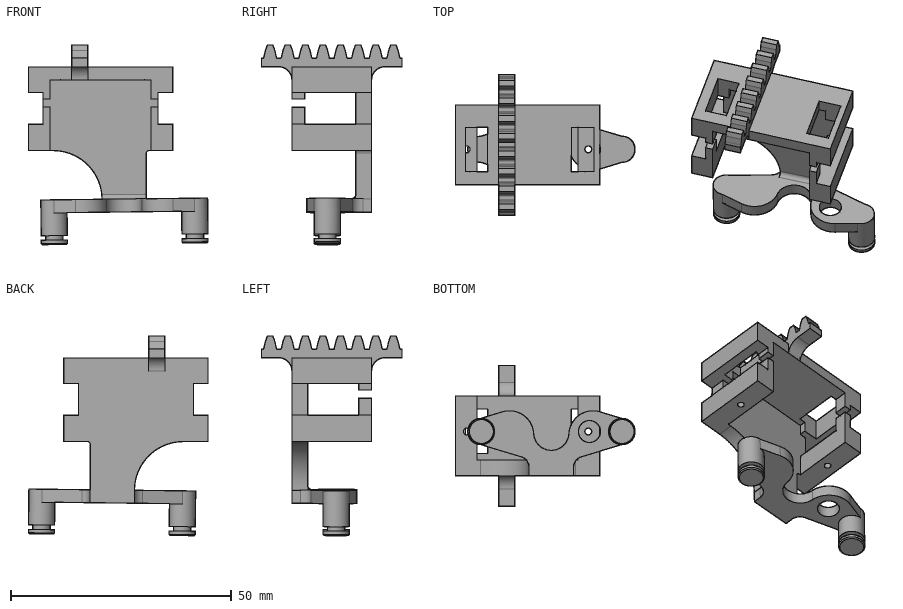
import cadquery as cq
import math

BODY_LENGTH = 32.8
BODY_DEPTH = 18.15
BODY_HEIGHT = 19.05
TOP_THICKNESS = 3.0
WALL_THICKNESS = 3.65
LIP_THICKNESS = 3.0
OPENING_LENGTH = 22.88
NOTCH_DEPTH = 3.3
LOWER_BLOCK_HEIGHT = 6.05
UPPER_BLOCK_HEIGHT = 5.85
LIP_SLOT_BOTTOM = 9.9
LIP_SLOT_HEIGHT = 1.8
POCKET_DEPTH = 10.08
LEFT_POCKET_X = (-14.03, -9.05)
RIGHT_POCKET_X = (9.95, 15.05)
SMALL_HOLE_DIAMETER = 1.5
SMALL_HOLE_X = 13.8

front_y = -BODY_DEPTH / 2
back_y = BODY_DEPTH / 2
wall_front_y = back_y - WALL_THICKNESS
lip_back_y = front_y + LIP_THICKNESS
half_length = BODY_LENGTH / 2
half_opening = OPENING_LENGTH / 2
upper_block_bottom = BODY_HEIGHT - UPPER_BLOCK_HEIGHT

RACK_LEFT_X = -6.55
RACK_WIDTH = 3.68
RACK_BASE_HEIGHT = 1.95
RACK_HEIGHT = 4.95
RACK_LENGTH = 32.0
TOOTH_COUNT = 8
TOOTH_PITCH = RACK_LENGTH / TOOTH_COUNT
TIP_HALF_WIDTH = 0.65
FLANK_HALF_WIDTH = 1.1
FLANK_DROP = 1.23
ROOT_HALF_WIDTH = 1.5
ROOT_FILLET_RADIUS = 0.2

WEB_LEFT_X = 0.3
WEB_RIGHT_X = 10.45
WEB_SWEEP_RADIUS = 11.0
WEB_CORNER_RADIUS = 0.5
WEB_OVERLAP = 0.1

FOOT_CENTRE_X = (WEB_LEFT_X + WEB_RIGHT_X) / 2
FOOT_TOP_Z = -10.95
FOOT_THICKNESS = 3.0
FOOT_TILT = 0.67
PIN_HALF_SPACING = 15.98
FEATURE_Y = -1.0
EDGE_SLOPE = 0.3
WEB_BLEND_RADIUS = 2.5
WEB_FILLET_RADIUS = 1.0
LOBE_RADIUS = 5.5
LOBE_OFFSET_X = 9.5
LOBE_Y = -0.23
NOTCH_CENTRE_Y = -0.73
FOOT_HOLE_DIAMETER = 5.0
FOOT_HOLE_OFFSET_X = 8.65

PIN_DIAMETER = 6.0
PIN_LENGTH = 7.2
PIN_GROOVE_DIAMETER = 4.0
PIN_GROOVE_WIDTH = 1.0
PIN_HEAD_HEIGHT = 1.05
PIN_CHAMFER = 0.25

PICK_MARGIN = 0.05


def block(x_range, y_range, z_range):
    """Box spanning the given coordinate ranges."""
    lows, highs = zip(x_range, y_range, z_range)
    sizes = [high - low for low, high in zip(lows, highs)]
    return cq.Workplane("XY").box(*sizes, centered=False).translate(lows)


def make_body():
    full_x = (-half_length, half_length)
    full_y = (front_y, back_y)
    notch_z = (LOWER_BLOCK_HEIGHT, upper_block_bottom)

    body = block(full_x, full_y, (0, BODY_HEIGHT))
    body = body.cut(block(
        (-half_opening, half_opening), (front_y, wall_front_y), (0, BODY_HEIGHT - TOP_THICKNESS)))
    for notch_x in (
        (-half_length, -half_length + NOTCH_DEPTH),
        (half_length - NOTCH_DEPTH, half_length),
    ):
        body = body.cut(block(notch_x, full_y, notch_z))

    body = body.cut(block(full_x, (lip_back_y, wall_front_y), notch_z))
    slot_z = (LIP_SLOT_BOTTOM, LIP_SLOT_BOTTOM + LIP_SLOT_HEIGHT)
    body = body.cut(block(full_x, (front_y, lip_back_y), slot_z))

    pocket_y = (lip_back_y, lip_back_y + POCKET_DEPTH)
    for pocket_x in (LEFT_POCKET_X, RIGHT_POCKET_X):
        body = body.cut(block(pocket_x, pocket_y, (upper_block_bottom, BODY_HEIGHT)))

    small_holes = (
        cq.Workplane("XY")
        .pushPoints([(-SMALL_HOLE_X, FEATURE_Y), (SMALL_HOLE_X, FEATURE_Y)])
        .circle(SMALL_HOLE_DIAMETER / 2)
        .extrude(LOWER_BLOCK_HEIGHT)
    )
    return body.cut(small_holes)


def make_rack():
    half_rack = RACK_LENGTH / 2
    root_z = BODY_HEIGHT + RACK_BASE_HEIGHT
    tip_z = BODY_HEIGHT + RACK_HEIGHT
    flank_z = tip_z - FLANK_DROP
    gusset_radius = TOP_THICKNESS
    gusset_bottom = BODY_HEIGHT - gusset_radius
    gusset_end = back_y + gusset_radius
    arc_inset = gusset_radius * (1 - math.sqrt(0.5))

    profile = cq.Workplane("YZ", origin=(RACK_LEFT_X, 0, 0)).moveTo(-half_rack, root_z)
    for index in range(TOOTH_COUNT):
        tooth_y = (index + 0.5) * TOOTH_PITCH - half_rack
        profile = (
            profile.lineTo(tooth_y - ROOT_HALF_WIDTH, root_z)
            .lineTo(tooth_y - FLANK_HALF_WIDTH, flank_z)
            .lineTo(tooth_y - TIP_HALF_WIDTH, tip_z)
            .lineTo(tooth_y + TIP_HALF_WIDTH, tip_z)
            .lineTo(tooth_y + FLANK_HALF_WIDTH, flank_z)
            .lineTo(tooth_y + ROOT_HALF_WIDTH, root_z)
        )
    profile = (
        profile.lineTo(half_rack, root_z)
        .lineTo(half_rack, BODY_HEIGHT)
        .lineTo(gusset_end, BODY_HEIGHT)
        .threePointArc((back_y + arc_inset, BODY_HEIGHT - arc_inset), (back_y, gusset_bottom))
        .lineTo(front_y, gusset_bottom)
        .threePointArc((front_y - arc_inset, BODY_HEIGHT - arc_inset), (-gusset_end, BODY_HEIGHT))
        .lineTo(-half_rack, BODY_HEIGHT)
        .close()
    )
    rack = profile.extrude(RACK_WIDTH)

    middle_gap_end = TOOTH_PITCH / 2
    for low_y, high_y in (
        (middle_gap_end, half_rack - PICK_MARGIN),
        (PICK_MARGIN - half_rack, -middle_gap_end),
    ):
        roots = cq.selectors.BoxSelector(
            (RACK_LEFT_X, low_y, root_z - PICK_MARGIN),
            (RACK_LEFT_X + RACK_WIDTH, high_y, root_z + PICK_MARGIN),
        )
        rack = rack.edges("|X").edges(roots).fillet(ROOT_FILLET_RADIUS)
    return rack


def make_web():
    sweep_left = WEB_LEFT_X - WEB_SWEEP_RADIUS
    web_bottom = FOOT_TOP_Z - WEB_OVERLAP
    sweep_inset = WEB_SWEEP_RADIUS * (1 - math.sqrt(0.5))
    corner_inset = WEB_CORNER_RADIUS * (1 - math.sqrt(0.5))
    return (
        cq.Workplane("XZ", origin=(0, back_y, 0))
        .moveTo(sweep_left, LOWER_BLOCK_HEIGHT)
        .lineTo(sweep_left, 0)
        .threePointArc((WEB_LEFT_X - sweep_inset, -sweep_inset), (WEB_LEFT_X, -WEB_SWEEP_RADIUS))
        .lineTo(WEB_LEFT_X, web_bottom)
        .lineTo(WEB_RIGHT_X, web_bottom)
        .lineTo(WEB_RIGHT_X, -WEB_CORNER_RADIUS)
        .threePointArc((WEB_RIGHT_X + corner_inset, -corner_inset), (WEB_RIGHT_X + WEB_CORNER_RADIUS, 0))
        .lineTo(WEB_RIGHT_X + WEB_CORNER_RADIUS, LOWER_BLOCK_HEIGHT)
        .close()
        .extrude(WALL_THICKNESS)
    )


def make_foot_plate():
    """Flat foot plate with its top at z = 0 and x measured from its middle."""
    pin_radius = PIN_DIAMETER / 2
    web_half_width = (WEB_RIGHT_X - WEB_LEFT_X) / 2
    corner_y = FEATURE_Y + pin_radius + EDGE_SLOPE * (PIN_HALF_SPACING - web_half_width)

    pin_back = (PIN_HALF_SPACING, FEATURE_Y + pin_radius)
    pin_end = (PIN_HALF_SPACING + pin_radius, FEATURE_Y)
    pin_front = (PIN_HALF_SPACING, FEATURE_Y - pin_radius)

    to_lobe_x = LOBE_OFFSET_X - PIN_HALF_SPACING
    to_lobe_y = LOBE_Y - pin_front[1]
    lobe_distance = math.hypot(to_lobe_x, to_lobe_y)
    tangent_angle = math.atan2(-to_lobe_y, -to_lobe_x) - math.acos(LOBE_RADIUS / lobe_distance)

    def lobe_point(angle):
        return (
            LOBE_OFFSET_X + LOBE_RADIUS * math.cos(angle),
            LOBE_Y + LOBE_RADIUS * math.sin(angle),
        )

    notch_radius = math.hypot(LOBE_OFFSET_X, NOTCH_CENTRE_Y - LOBE_Y) - LOBE_RADIUS
    notch_angle = math.atan2(NOTCH_CENTRE_Y - LOBE_Y, -LOBE_OFFSET_X)
    lobe_start = lobe_point(tangent_angle)
    lobe_middle = lobe_point((tangent_angle + notch_angle) / 2)
    lobe_end = lobe_point(notch_angle)

    def mirrored(point):
        return (-point[0], point[1])

    plate = (
        cq.Workplane("XY")
        .moveTo(-web_half_width, back_y)
        .lineTo(web_half_width, back_y)
        .lineTo(web_half_width, corner_y)
        .lineTo(*pin_back)
        .threePointArc(pin_end, pin_front)
        .lineTo(*lobe_start)
        .threePointArc(lobe_middle, lobe_end)
        .threePointArc((0, NOTCH_CENTRE_Y + notch_radius), mirrored(lobe_end))
        .threePointArc(mirrored(lobe_middle), mirrored(lobe_start))
        .lineTo(*mirrored(pin_front))
        .threePointArc(mirrored(pin_end), mirrored(pin_back))
        .lineTo(-web_half_width, corner_y)
        .close()
        .extrude(-FOOT_THICKNESS)
    )
    web_corners = cq.selectors.BoxSelector(
        (-web_half_width - PICK_MARGIN, corner_y - PICK_MARGIN, -FOOT_THICKNESS),
        (web_half_width + PICK_MARGIN, corner_y + PICK_MARGIN, 0),
    )
    plate = plate.edges("|Z").edges(web_corners).fillet(WEB_BLEND_RADIUS)
    hole = (
        cq.Workplane("XY")
        .center(FOOT_HOLE_OFFSET_X, FEATURE_Y)
        .circle(FOOT_HOLE_DIAMETER / 2)
        .extrude(-FOOT_THICKNESS)
    )
    return plate.cut(hole)


def make_pin():
    """Grooved pin on the Z axis, running from the top of the foot to below it."""
    pin_bottom = -FOOT_THICKNESS - PIN_LENGTH
    head_top = pin_bottom + PIN_HEAD_HEIGHT
    shank_bottom = head_top + PIN_GROOVE_WIDTH
    head = (
        cq.Workplane("XY", origin=(0, 0, pin_bottom))
        .circle(PIN_DIAMETER / 2)
        .extrude(PIN_HEAD_HEIGHT)
        .faces("<Z")
        .chamfer(PIN_CHAMFER)
    )
    neck = (
        cq.Workplane("XY", origin=(0, 0, head_top))
        .circle(PIN_GROOVE_DIAMETER / 2)
        .extrude(PIN_GROOVE_WIDTH)
    )
    shank = (
        cq.Workplane("XY", origin=(0, 0, shank_bottom))
        .circle(PIN_DIAMETER / 2)
        .extrude(-shank_bottom)
    )
    return shank.union(neck).union(head)


def make_web_fillet():
    """Concave fillet between the top of the foot and the front of the web."""
    radius = WEB_FILLET_RADIUS
    arc_inset = radius * (1 - math.sqrt(0.5))
    web_width = WEB_RIGHT_X - WEB_LEFT_X
    return (
        cq.Workplane("YZ", origin=(-web_width / 2, 0, 0))
        .moveTo(wall_front_y - radius, 0)
        .threePointArc((wall_front_y - arc_inset, arc_inset), (wall_front_y, radius))
        .lineTo(wall_front_y, 0)
        .close()
        .extrude(web_width)
    )


def make_foot():
    foot = make_foot_plate().union(make_web_fillet())
    for pin_x in (-PIN_HALF_SPACING, PIN_HALF_SPACING):
        foot = foot.union(make_pin().translate((pin_x, FEATURE_Y, 0)))
    tilted = foot.rotate((0, 0, 0), (0, 1, 0), -FOOT_TILT)
    return tilted.translate((FOOT_CENTRE_X, 0, FOOT_TOP_Z))


result = make_body().union(make_rack()).union(make_web()).union(make_foot())